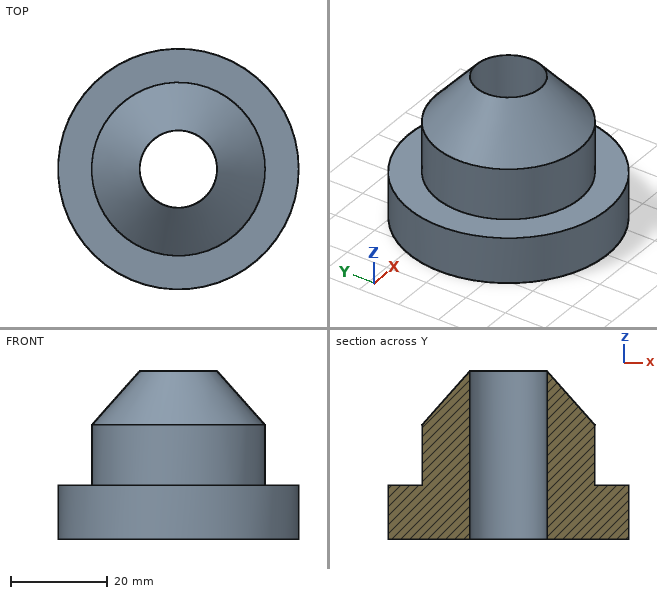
import cadquery as cq

flange_diameter = 50.0
flange_height = 11.25
body_diameter = 36.0
body_height = 12.5
nose_height = 11.25
bore_diameter = 16.0

flange_radius = flange_diameter / 2
body_radius = body_diameter / 2
bore_radius = bore_diameter / 2

body_base_z = flange_height
nose_base_z = body_base_z + body_height
nose_tip_z = nose_base_z + nose_height


def make_bushing():
    """Revolve the half section around Z: flange, body and a cone that meets the through bore in a sharp rim."""
    half_section = (
        cq.Workplane("XZ")
        .moveTo(bore_radius, 0)
        .lineTo(flange_radius, 0)
        .lineTo(flange_radius, body_base_z)
        .lineTo(body_radius, body_base_z)
        .lineTo(body_radius, nose_base_z)
        .lineTo(bore_radius, nose_tip_z)
        .close()
    )
    return half_section.revolve(360, (0, 0, 0), (0, 1, 0))


result = make_bushing()